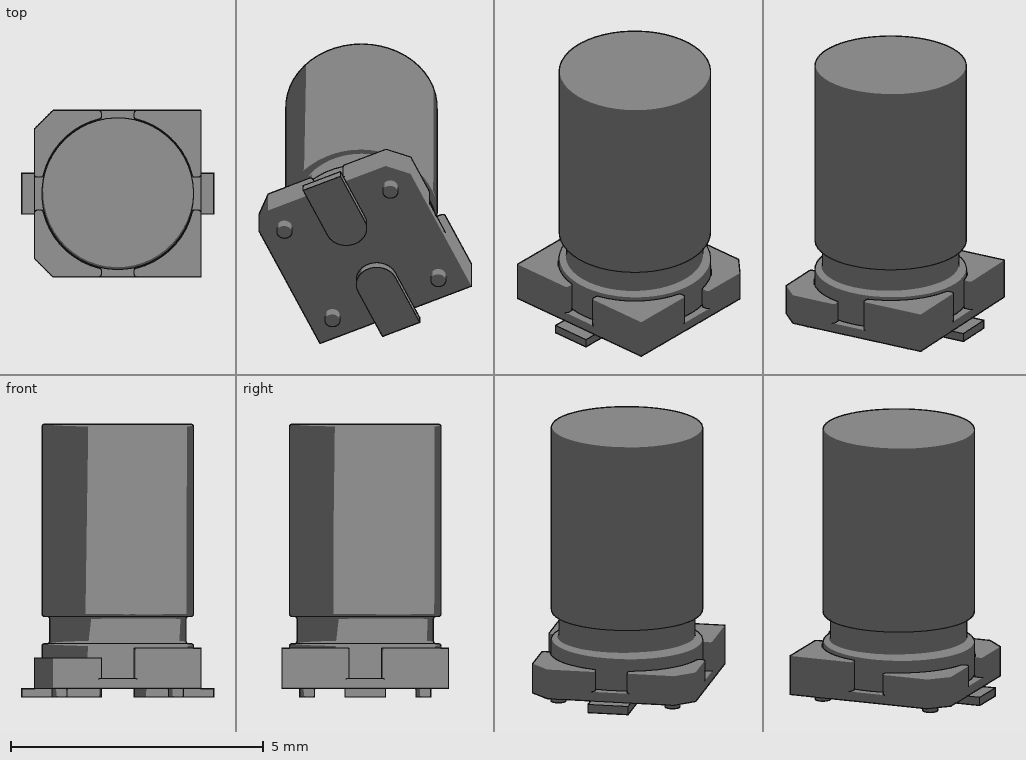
import cadquery as cq
import math


TOTAL_HEIGHT = 5.4
LEAD_SPAN = 3.8

LEAD_THICKNESS = 0.17
LEAD_WIDTH = 0.81
LEAD_GAP = 0.65
PIN_DIAMETER = 0.3
PIN_OFFSET = 1.15
PIN_ROUND = 0.015

BASE_SIDE = 3.3
BASE_CHAMFER = 0.37
FLOOR_TOP = 0.37
LOW_CORNER_TOP = 0.78
HIGH_CORNER_TOP = 0.97
NOTCH_WIDTH = 0.65
NOTCH_ROUND = 0.06
SEAT_CLEARANCE = 0.02
SEAT_ROUND = 0.04
EDGE_ROUND = 0.015

CAN_DIAMETER = 3.0
GROOVE_DIAMETER = 2.7
GROOVE_BOTTOM = 1.06
GROOVE_TOP = 1.595
CAN_ROUND = 0.05

HALF_BASE = BASE_SIDE / 2
SEAT_RADIUS = CAN_DIAMETER / 2 + SEAT_CLEARANCE
PICK_MARGIN = 0.01


def make_floor():
    """Thin base plate with both -X corners chamfered and its outer edges eased."""
    return (
        cq.Workplane("XY")
        .workplane(offset=LEAD_THICKNESS)
        .rect(BASE_SIDE, BASE_SIDE)
        .extrude(FLOOR_TOP - LEAD_THICKNESS)
        .edges("|Z and <X")
        .chamfer(BASE_CHAMFER)
        .edges("|Z")
        .fillet(EDGE_ROUND)
        .edges("<Z")
        .fillet(EDGE_ROUND)
    )


def vertical_edges_at(post, x, y):
    """Vertical edges of a post at plan position (x, y) and at its mirror image (y, x)."""
    picks = [
        cq.selectors.BoxSelector(
            (px - PICK_MARGIN, py - PICK_MARGIN, 0),
            (px + PICK_MARGIN, py + PICK_MARGIN, HIGH_CORNER_TOP),
        )
        for px, py in ((x, y), (y, x))
    ]
    return post.edges("|Z").edges(picks[0] + picks[1])


def make_corner_post(top, chamfered):
    """Corner post of the +X +Y quadrant, hollowed to seat the can."""
    wall = NOTCH_WIDTH / 2
    seat_end = math.sqrt(SEAT_RADIUS**2 - wall**2)
    side = HALF_BASE - wall
    height = top - FLOOR_TOP
    bore = cq.Workplane("XY").circle(SEAT_RADIUS).extrude(top)
    post = (
        cq.Workplane("XY")
        .box(side, side, height, centered=False)
        .translate((wall, wall, FLOOR_TOP))
        .cut(bore)
    )
    if chamfered:
        post = vertical_edges_at(post, HALF_BASE, HALF_BASE).chamfer(BASE_CHAMFER)
        chamfer_start = HALF_BASE - BASE_CHAMFER
        post = vertical_edges_at(post, HALF_BASE, chamfer_start).fillet(EDGE_ROUND)
    else:
        post = vertical_edges_at(post, HALF_BASE, HALF_BASE).fillet(EDGE_ROUND)
    post = vertical_edges_at(post, HALF_BASE, wall).fillet(NOTCH_ROUND)
    post = vertical_edges_at(post, seat_end, wall).fillet(SEAT_ROUND)
    return post.faces(">Z").edges().fillet(EDGE_ROUND)


def make_base():
    """Floor with two high posts at +X and two low, chamfered ones at -X, notched between."""
    base = make_floor()
    high_post = make_corner_post(HIGH_CORNER_TOP, chamfered=False)
    low_post = make_corner_post(LOW_CORNER_TOP, chamfered=True)
    for post, angle in ((high_post, 0), (low_post, 90), (low_post, 180), (high_post, 270)):
        base = base.union(post.rotate((0, 0, 0), (0, 0, 1), angle))
    notch_sills = [
        cq.selectors.NearestToPointSelector(point)
        for point in (
            (HALF_BASE, 0, FLOOR_TOP),
            (-HALF_BASE, 0, FLOOR_TOP),
            (0, HALF_BASE, FLOOR_TOP),
            (0, -HALF_BASE, FLOOR_TOP),
        )
    ]
    for sill in notch_sills:
        base = base.edges(sill).fillet(EDGE_ROUND)
    return base


def make_can():
    """Can seated on the base floor, with a rolled groove near its foot."""
    body = (
        cq.Workplane("XY")
        .workplane(offset=FLOOR_TOP)
        .circle(CAN_DIAMETER / 2)
        .extrude(TOTAL_HEIGHT - FLOOR_TOP)
    )
    groove = (
        cq.Workplane("XY")
        .workplane(offset=GROOVE_BOTTOM)
        .circle(CAN_DIAMETER / 2)
        .circle(GROOVE_DIAMETER / 2)
        .extrude(GROOVE_TOP - GROOVE_BOTTOM)
    )
    return body.cut(groove).edges("%CIRCLE and (not <Z)").fillet(CAN_ROUND)


def make_lead(side):
    """Flat lead with a full-round inner end; side is -1 or +1 along X."""
    radius = LEAD_WIDTH / 2
    inner = LEAD_GAP / 2
    return (
        cq.Workplane("XY")
        .moveTo(side * LEAD_SPAN / 2, -radius)
        .lineTo(side * (inner + radius), -radius)
        .threePointArc((side * inner, 0), (side * (inner + radius), radius))
        .lineTo(side * LEAD_SPAN / 2, radius)
        .close()
        .extrude(LEAD_THICKNESS)
    )


def make_pins():
    """Four round standoff pins with eased feet, reaching up into the base floor."""
    return (
        cq.Workplane("XY")
        .rect(2 * PIN_OFFSET, 2 * PIN_OFFSET, forConstruction=True)
        .vertices()
        .circle(PIN_DIAMETER / 2)
        .extrude(FLOOR_TOP)
        .edges("<Z")
        .fillet(PIN_ROUND)
    )


def make_base_with_pins():
    """Base and pins as one moulding, with a small root fillet around each pin."""
    moulding = make_base().union(make_pins())
    pin_roots = cq.selectors.BoxSelector(
        (-HALF_BASE, -HALF_BASE, LEAD_THICKNESS - PICK_MARGIN),
        (HALF_BASE, HALF_BASE, LEAD_THICKNESS + PICK_MARGIN),
    )
    return moulding.edges("%CIRCLE").edges(pin_roots).fillet(PIN_ROUND)


result = make_base_with_pins().union(make_can())
for lead_side in (-1, 1):
    result = result.union(make_lead(lead_side))